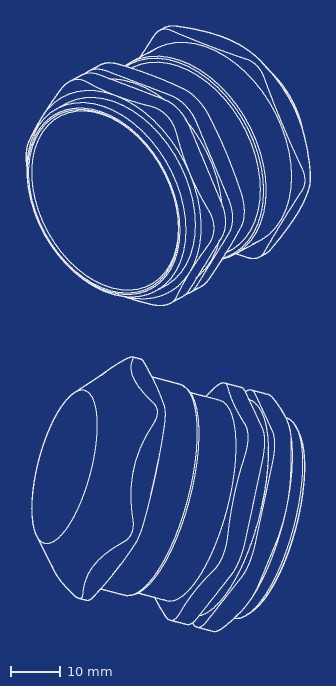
import cadquery as cq
import math

total_length = 44.25
across_flats = 45.0
flat_radius = across_flats / 2

front_nut_start = 3.85
front_nut_end = 8.8
rear_nut_start = 11.05
rear_nut_end = 15.7
collar_start = 24.3
cap_start = 32.8

thread_diameter = 42.0
thread_chamfer = 0.85
collar_diameter = 44.2
collar_chamfer_length = 0.5
collar_chamfer_depth = 0.25
seal_diameter = 45.35
cap_end_diameter = 32.0
recess_diameter = 38.7
recess_depth = 0.45

nut_corner_radius = 7.8
cap_corner_radius = 5.05
front_nut_slope = 30.0
rear_nut_slope = 17.0
rear_nut_face_radius = 21.7
cap_front_slope = 9.0
cap_back_slope = 45.0


def revolve_profile(points):
    """Revolve a closed (radius, y) outline about the Y axis."""
    return cq.Workplane("XY").polyline(points).close().revolve(360, (0, 0, 0), (0, 1, 0))


def cylinder(diameter, start, end):
    radius = diameter / 2
    return revolve_profile([(0, start), (radius, start), (radius, end), (0, end)])


def hexagon(start, end, corner_radius):
    """Hexagonal prism with rounded corners on +X and -X and flats on +Z and -Z."""
    corner_diameter = across_flats / math.cos(math.pi / 6)
    prism = cq.Workplane("XZ", origin=(0, start, 0)).polygon(6, corner_diameter).extrude(start - end)
    return prism.edges("|Y").fillet(corner_radius)


def trim_corners(prism, face_y, face_radius, slope, inward):
    """Trim the corners to a cone that starts at one end face; inward is +1 or -1 along Y."""
    trim_radius = across_flats
    rise = (trim_radius - face_radius) * math.tan(math.radians(slope))
    shoulder = face_y + inward * rise
    far_end = shoulder + inward * total_length
    cone = revolve_profile([
        (0, face_y),
        (face_radius, face_y),
        (trim_radius, shoulder),
        (trim_radius, far_end),
        (0, far_end),
    ])
    return prism.intersect(cone)


def make_thread():
    thread = cylinder(thread_diameter, 0, cap_start)
    thread = thread.faces("<Y").chamfer(thread_chamfer)
    floor_radius = recess_diameter / 2
    rim_radius = floor_radius + recess_depth
    recess = revolve_profile([(0, 0), (rim_radius, 0), (floor_radius, recess_depth), (0, recess_depth)])
    return thread.cut(recess)


def make_seal():
    """O-ring between the nuts, with a half-round outer edge."""
    bulge = (rear_nut_start - front_nut_end) / 2
    middle = (rear_nut_start + front_nut_end) / 2
    edge_radius = seal_diameter / 2 - bulge
    return (
        cq.Workplane("XY")
        .moveTo(0, front_nut_end)
        .lineTo(edge_radius, front_nut_end)
        .threePointArc((seal_diameter / 2, middle), (edge_radius, rear_nut_start))
        .lineTo(0, rear_nut_start)
        .close()
        .revolve(360, (0, 0, 0), (0, 1, 0))
    )


def make_front_nut():
    nut = hexagon(front_nut_start, front_nut_end, nut_corner_radius)
    return trim_corners(nut, front_nut_start, flat_radius, front_nut_slope, 1)


def make_rear_nut():
    nut = hexagon(rear_nut_start, rear_nut_end, nut_corner_radius)
    return trim_corners(nut, rear_nut_end, rear_nut_face_radius, rear_nut_slope, -1)


def make_collar():
    radius = collar_diameter / 2
    return revolve_profile([
        (0, collar_start),
        (radius - collar_chamfer_depth, collar_start),
        (radius, collar_start + collar_chamfer_length),
        (radius, cap_start),
        (0, cap_start),
    ])


def make_cap():
    cap = hexagon(cap_start, total_length, cap_corner_radius)
    cap = trim_corners(cap, cap_start, collar_diameter / 2, cap_front_slope, 1)
    return trim_corners(cap, total_length, cap_end_diameter / 2, cap_back_slope, -1)


result = (
    make_thread()
    .union(make_front_nut())
    .union(make_seal())
    .union(make_rear_nut())
    .union(make_collar())
    .union(make_cap())
)